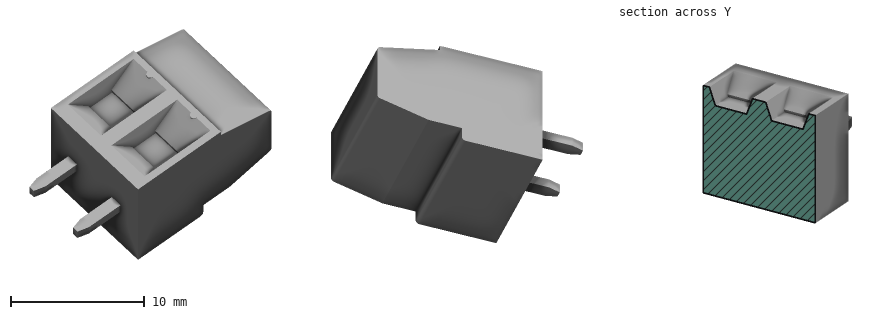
import cadquery as cq
import math


POLE_COUNT = 2
POLE_PITCH = 5.0
WIDTH = POLE_COUNT * POLE_PITCH

DEPTH = 13.2
HEIGHT = 8.9
TOP_DECK_LENGTH = 8.2
TOP_STEP = 0.42
BASE_LENGTH = 6.45
BASE_STEP = 1.18
BOTTOM_SLOPE_START = 9.1
SLOPE_ANGLE = 14.0
BACK_EDGE_RADIUS = 0.3
BASE_EDGE_RADIUS = 0.3

POCKET_WIDTH = 3.8
POCKET_FRONT = 1.17
POCKET_BACK = 7.67
POCKET_DEPTH = 1.4
FLOOR_WIDTH = 2.75
FLOOR_FRONT = 2.8
FLOOR_BACK = 5.1
RAMP_DEPTH = 1.18

STUD_RADIUS = 0.3

PIN_LENGTH = 4.05
PIN_WIDTH = 1.0
PIN_THICKNESS = 0.8
PIN_CENTRE_Z = HEIGHT / 2
PIN_TIP_LENGTH = 0.92
PIN_TIP_WIDTH = 0.5


def make_housing():
    """Stepped block whose top and bottom slope in towards the back face."""
    slope = math.tan(math.radians(SLOPE_ANGLE))
    top_slope_z = HEIGHT - TOP_STEP
    back_top_z = top_slope_z - (DEPTH - TOP_DECK_LENGTH) * slope
    back_bottom_z = BASE_STEP + (DEPTH - BOTTOM_SLOPE_START) * slope
    profile = [
        (0, 0),
        (BASE_LENGTH, 0),
        (BASE_LENGTH, BASE_STEP),
        (BOTTOM_SLOPE_START, BASE_STEP),
        (DEPTH, back_bottom_z),
        (DEPTH, back_top_z),
        (TOP_DECK_LENGTH, top_slope_z),
        (TOP_DECK_LENGTH, HEIGHT),
        (0, HEIGHT),
    ]
    block = cq.Workplane("YZ").polyline(profile).close().extrude(WIDTH)
    block = block.faces(">Y").edges("|X").fillet(BACK_EDGE_RADIUS)
    return block.faces("<Z").edges(">Y").fillet(BASE_EDGE_RADIUS)


def make_pocket(centre_x):
    """Pocket void: flared side walls, and end ramps that drop to the floor by a short wall."""
    floor_z = HEIGHT - POCKET_DEPTH
    ramp_end_z = HEIGHT - RAMP_DEPTH
    length_profile = [
        (POCKET_FRONT, HEIGHT),
        (FLOOR_FRONT, ramp_end_z),
        (FLOOR_FRONT, floor_z),
        (FLOOR_BACK, floor_z),
        (FLOOR_BACK, ramp_end_z),
        (POCKET_BACK, HEIGHT),
    ]
    width_profile = [
        (centre_x - POCKET_WIDTH / 2, HEIGHT),
        (centre_x - FLOOR_WIDTH / 2, floor_z),
        (centre_x + FLOOR_WIDTH / 2, floor_z),
        (centre_x + POCKET_WIDTH / 2, HEIGHT),
    ]
    lengthwise = cq.Workplane("YZ").polyline(length_profile).close().extrude(WIDTH)
    crosswise = cq.Workplane("XZ").polyline(width_profile).close().extrude(-DEPTH)
    return lengthwise.intersect(crosswise)


def make_stud(centre_x):
    """Upright stud, flush with the top deck and half sunk in the back wall of the pocket."""
    return (
        cq.Workplane("XY", origin=(centre_x, POCKET_BACK, HEIGHT))
        .circle(STUD_RADIUS)
        .extrude(-RAMP_DEPTH)
    )


def make_pin(centre_x):
    """Flat pin that tapers in width to a blunt tip."""
    outline = [
        (-PIN_WIDTH / 2, 0),
        (-PIN_WIDTH / 2, PIN_TIP_LENGTH - PIN_LENGTH),
        (-PIN_TIP_WIDTH / 2, -PIN_LENGTH),
        (PIN_TIP_WIDTH / 2, -PIN_LENGTH),
        (PIN_WIDTH / 2, PIN_TIP_LENGTH - PIN_LENGTH),
        (PIN_WIDTH / 2, 0),
    ]
    return (
        cq.Workplane("XY", origin=(centre_x, 0, PIN_CENTRE_Z - PIN_THICKNESS / 2))
        .polyline(outline)
        .close()
        .extrude(PIN_THICKNESS)
    )


result = make_housing()
for pole in range(POLE_COUNT):
    pole_x = (pole + 0.5) * POLE_PITCH
    result = result.cut(make_pocket(pole_x))
    result = result.union(make_stud(pole_x))
    result = result.union(make_pin(pole_x))